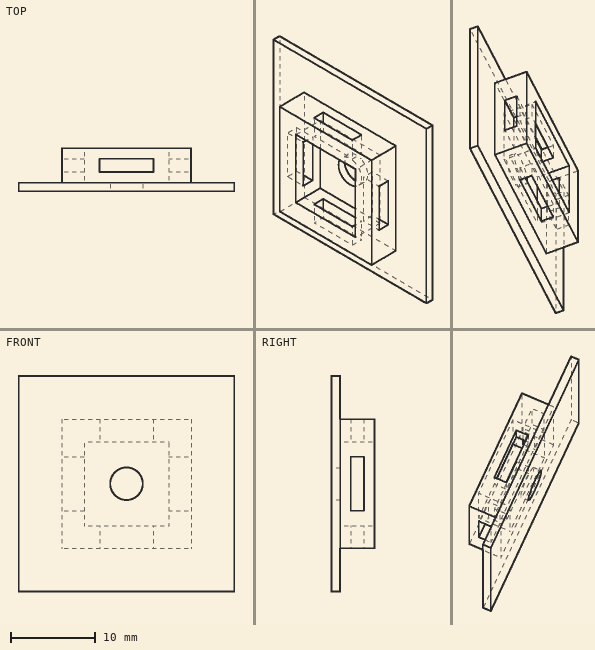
import cadquery as cq

plate_side = 25.4
plate_thickness = 1.02

total_depth = 5.08
frame_side = 15.25
frame_opening = 9.9
frame_depth = total_depth - plate_thickness

hole_diameter = 3.8

slot_length = 6.35
slot_width = 1.52
slot_center_y = 3.05


def centered_block(x_size, y_size, z_size, center_y):
    """Block centred on the Y axis, with its middle at center_y."""
    return cq.Workplane("XY").box(x_size, y_size, z_size).translate((0, center_y, 0))


plate = centered_block(plate_side, plate_thickness, plate_side, plate_thickness / 2)

frame_center_y = plate_thickness + frame_depth / 2
frame = centered_block(frame_side, frame_depth, frame_side, frame_center_y)
cavity = centered_block(frame_opening, frame_depth, frame_opening, frame_center_y)

hole = cq.Workplane("XZ").circle(hole_diameter / 2).extrude(-plate_thickness)

slot_along_x = centered_block(frame_side, slot_width, slot_length, slot_center_y)
slot_along_z = centered_block(slot_length, slot_width, frame_side, slot_center_y)

result = plate.union(frame).cut(cavity).cut(hole).cut(slot_along_x).cut(slot_along_z)